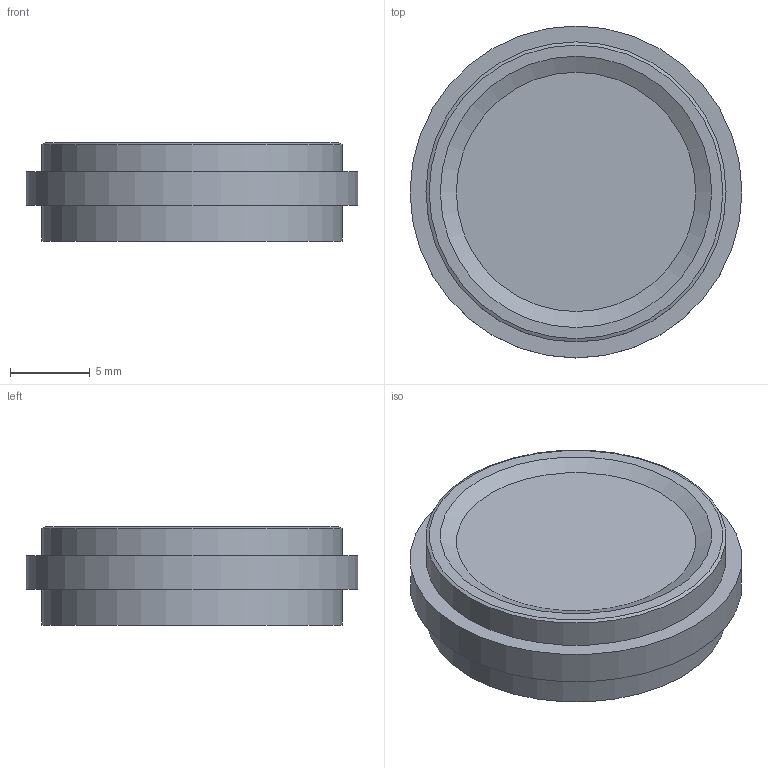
import cadquery as cq

total_height = 6.15
flange_bottom = 2.25
flange_thickness = 2.1
flange_top = flange_bottom + flange_thickness

body_radius = 18.8 / 2
flange_radius = 20.8 / 2

bevel_width = 0.2
bevel_height = 0.1

dish_rim_radius = 8.5
dish_floor_radius = 7.5
dish_depth = 0.5


def make_part():
    """Revolve the half section (radius, height) about the Z axis."""
    half_section = (
        cq.Workplane("XZ")
        .moveTo(0, 0)
        .lineTo(body_radius, 0)
        .lineTo(body_radius, flange_bottom)
        .lineTo(flange_radius, flange_bottom)
        .lineTo(flange_radius, flange_top)
        .lineTo(body_radius, flange_top)
        .lineTo(body_radius, total_height - bevel_height)
        .lineTo(body_radius - bevel_width, total_height)
        .lineTo(dish_rim_radius, total_height)
        .lineTo(dish_floor_radius, total_height - dish_depth)
        .lineTo(0, total_height - dish_depth)
        .close()
    )
    return half_section.revolve(360, (0, 0, 0), (0, 1, 0))


result = make_part()